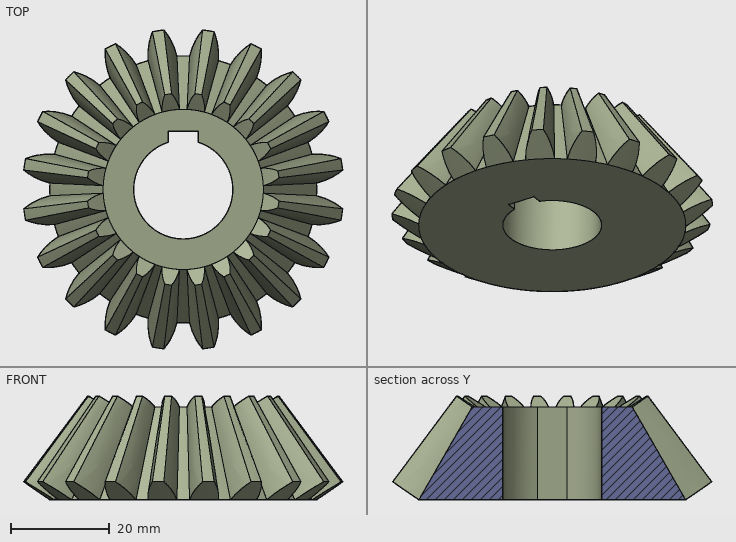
import cadquery as cq
import math

tooth_count = 20
pitch_radius = 30.0
pitch_angle = math.atan2(2, 3)
module = 2 * pitch_radius / tooth_count
addendum = module
dedendum = 1.2 * module
small_end_ratio = 0.6
tooth_pitch = 360 / tooth_count

root_half_angle = 6.3
pitch_half_angle = tooth_pitch / 4
tip_half_angle = 1.6

foot_clearance = 0.65
tip_allowance = 0.65

bore_radius = 10.0
keyway_width = 6.0
keyway_reach = 11.75

root_radius = pitch_radius - dedendum * math.cos(pitch_angle)
tip_radius = pitch_radius + addendum * math.cos(pitch_angle)
pitch_height = dedendum * math.sin(pitch_angle)
tip_height = (addendum + dedendum) * math.sin(pitch_angle)
apex_height = pitch_height + pitch_radius / math.tan(pitch_angle)


def toward_apex(radius, height):
    """Move a large-end point along its line to the apex, to the small end."""
    return radius * small_end_ratio, apex_height - (apex_height - height) * small_end_ratio


def radius_at_base(radius, height):
    """Radius at z = 0 of the line from the apex through the given point."""
    return radius * apex_height / (apex_height - height)


def polar(radius, angle):
    """Cartesian point at a radius and an angle in degrees."""
    return radius * math.cos(math.radians(angle)), radius * math.sin(math.radians(angle))


small_root_radius, hub_height = toward_apex(root_radius, 0)
small_tip_radius, total_height = toward_apex(tip_radius, tip_height)
tooth_foot_radius = bore_radius + foot_clearance
large_foot_radius = tooth_foot_radius / small_end_ratio
base_pitch_radius = radius_at_base(pitch_radius, pitch_height)
base_tip_radius = radius_at_base(tip_radius, tip_height) + tip_allowance


def tooth_section(height):
    """Horizontal tooth outline at a height, shrinking toward the apex."""
    scale = 1 - height / apex_height
    foot = large_foot_radius * scale
    root = root_radius * scale
    pitch = base_pitch_radius * scale
    tip = base_tip_radius * scale
    return (
        cq.Workplane("XY", origin=(0, 0, height))
        .moveTo(*polar(foot, -root_half_angle))
        .lineTo(*polar(root, -root_half_angle))
        .threePointArc(polar(pitch, -pitch_half_angle), polar(tip, -tip_half_angle))
        .lineTo(*polar(tip, tip_half_angle))
        .threePointArc(polar(pitch, pitch_half_angle), polar(root, root_half_angle))
        .lineTo(*polar(foot, root_half_angle))
        .close()
        .val()
    )


def make_tooth():
    """One tapered tooth, trimmed by the back, tip and front cones."""
    sections = [tooth_section(0), tooth_section(total_height)]
    wedge = cq.Workplane(cq.Solid.makeLoft(sections, True))
    envelope = (
        cq.Workplane("XZ")
        .polyline([
            (0, 0),
            (root_radius, 0),
            (tip_radius, tip_height),
            (small_tip_radius, total_height),
            (small_root_radius, hub_height),
            (0, hub_height),
        ])
        .close()
        .revolve(360, (0, 0, 0), (0, 1, 0))
    )
    return wedge.intersect(envelope)


gear = cq.Workplane(cq.Solid.makeCone(root_radius, small_root_radius, hub_height))

tooth = make_tooth()
for index in range(tooth_count):
    gear = gear.union(tooth.rotate((0, 0, 0), (0, 0, 1), (index + 0.5) * tooth_pitch))

bore = cq.Workplane("XY").circle(bore_radius).extrude(hub_height)
keyway = (
    cq.Workplane("XY")
    .center(0, keyway_reach / 2)
    .rect(keyway_width, keyway_reach)
    .extrude(hub_height)
)

result = gear.cut(bore).cut(keyway)